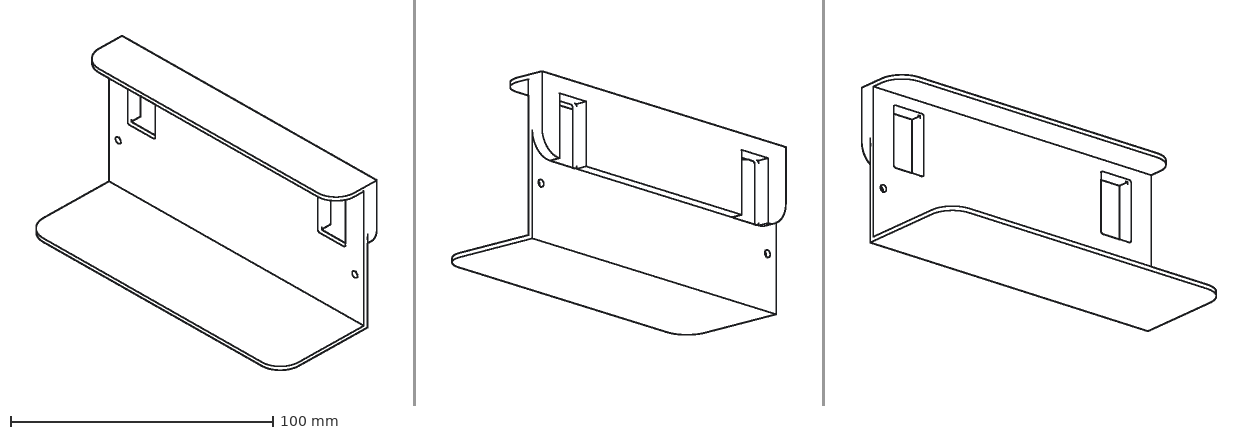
import cadquery as cq

width = 138.0
depth = 52.0
height = 65.5

wall_thickness = 2.1
flange_thickness = 1.8
top_flange_depth = 22.1
corner_radius = 10.0

block_depth = 5.0
block_height = 32.4

window_margin = 10.1
window_width = 14.9
window_top_gap = 6.6
window_radius = 1.0
hole_diameter = 2.9
hole_margin = 5.0
hole_drop = 42.5

wall_rear = -block_depth
wall_front = wall_rear - wall_thickness
block_bottom = height - block_height
window_height = block_height - window_top_gap
window_x = width / 2 - window_margin - window_width / 2
window_z = block_bottom + window_height / 2
hole_x = width / 2 - hole_margin
hole_z = height - hole_drop


def box_between(y_front, y_rear, z_bottom, z_top):
    """Full-width box between the given Y and Z limits."""
    return (
        cq.Workplane("XY")
        .box(width, y_rear - y_front, z_top - z_bottom, centered=(True, False, False))
        .translate((0, y_front, z_bottom))
    )


def flange(y_front, y_rear, z_bottom):
    """Horizontal plate with rounded front corners."""
    plate = box_between(y_front, y_rear, z_bottom, z_bottom + flange_thickness)
    return plate.edges("|Z and <Y").fillet(corner_radius)


def window_prisms(reach):
    """Pair of window-sized prisms reaching forward from the rear face of the block."""
    return (
        cq.Workplane("XZ")
        .pushPoints([(-window_x, window_z), (window_x, window_z)])
        .rect(window_width, window_height)
        .extrude(reach)
    )


wall = box_between(wall_front, wall_rear, 0, height)
bottom_flange = flange(-depth, wall_rear, 0)
top_flange = flange(-top_flange_depth, 0, height - flange_thickness)

block = box_between(wall_rear, 0, block_bottom, height)
block = block.edges("|Y and <Z").fillet(corner_radius)

wall_windows = window_prisms(-wall_front).edges("|Y").fillet(window_radius)
block_slots = window_prisms(block_depth)

holes = (
    cq.Workplane("XZ")
    .pushPoints([(-hole_x, hole_z), (hole_x, hole_z)])
    .circle(hole_diameter / 2)
    .extrude(-wall_front)
)

body = wall.union(bottom_flange).union(top_flange).union(block)
result = body.cut(wall_windows).cut(block_slots).cut(holes)